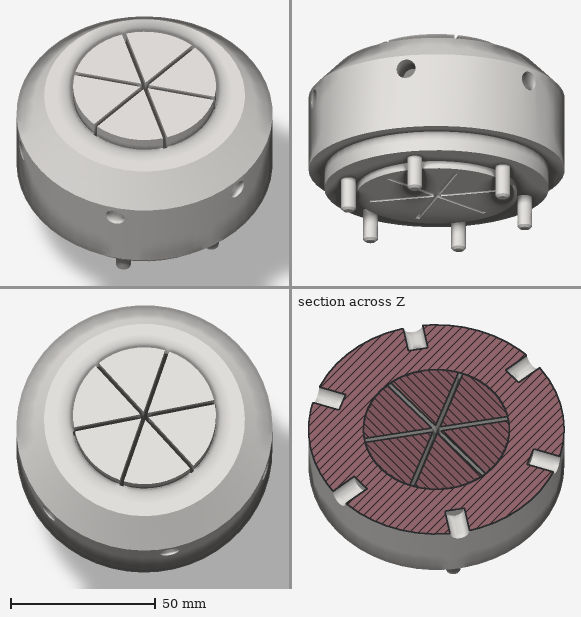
import cadquery as cq


housing_diameter = 88.9
housing_top = 54.5
housing_bottom = 18.4
rim_chamfer = 9.6
base_radius = 38.9
base_bottom = 11.5
bore_radius = 25.25

side_hole_count = 6
side_hole_radius = 3.4
side_hole_depth = 9.8
side_hole_height = 40.0
side_hole_first_angle = 30.0

pin_count = 6
pin_radius = 2.6
pin_circle_radius = 31.8
pin_chamfer = 0.8
pin_first_angle = 30.0

collet_top = 59.6
head_radius = 24.8
flange_radius = 28.0
flange_bottom = 8.8
slot_count = 3
slot_width = 1.5
slot_floor_reach = 24.0

housing_radius = housing_diameter / 2


def make_shell():
    """Chamfered cylinder on a smaller base, with a straight bore through both."""
    drum = (
        cq.Workplane("XY", origin=(0, 0, housing_bottom))
        .circle(housing_radius)
        .extrude(housing_top - housing_bottom)
        .faces(">Z")
        .chamfer(rim_chamfer)
    )
    base = (
        cq.Workplane("XY", origin=(0, 0, base_bottom))
        .circle(base_radius)
        .extrude(housing_bottom - base_bottom)
    )
    bore = (
        cq.Workplane("XY", origin=(0, 0, base_bottom))
        .circle(bore_radius)
        .extrude(housing_top - base_bottom)
    )
    return drum.union(base).cut(bore)


def make_side_hole(angle):
    """Flat-bottomed radial hole, drilled inward from the outer wall."""
    return (
        cq.Workplane("YZ", origin=(housing_radius - side_hole_depth, 0, side_hole_height))
        .circle(side_hole_radius)
        .extrude(side_hole_depth)
        .rotate((0, 0, 0), (0, 0, 1), angle)
    )


def make_pin(angle):
    """Pin with a chamfered tip, hanging from the underside of the base."""
    return (
        cq.Workplane("XY")
        .center(pin_circle_radius, 0)
        .circle(pin_radius)
        .extrude(base_bottom)
        .faces("<Z")
        .chamfer(pin_chamfer)
        .rotate((0, 0, 0), (0, 0, 1), angle)
    )


def make_housing():
    """One solid: shell, side holes and the pins that are part of its base."""
    body = make_shell()
    for i in range(side_hole_count):
        body = body.cut(make_side_hole(side_hole_first_angle + i * 360 / side_hole_count))
    for i in range(pin_count):
        body = body.union(make_pin(pin_first_angle + i * 360 / pin_count))
    return body


def make_slot(angle):
    """Cutter that splits head and plug completely but stops inside the flange rim."""
    above_flange = (
        cq.Workplane("XY", origin=(0, 0, base_bottom))
        .rect(2 * flange_radius, slot_width)
        .extrude(collet_top - base_bottom)
    )
    through_flange = (
        cq.Workplane("XY", origin=(0, 0, flange_bottom))
        .rect(2 * slot_floor_reach, slot_width)
        .extrude(base_bottom - flange_bottom)
    )
    return above_flange.union(through_flange).rotate((0, 0, 0), (0, 0, 1), angle)


def make_collet():
    """Slotted collet: a flange against the base, a plug filling the bore, and a narrower head.

    The shoulder between plug and head is flush with the top of the housing.
    """
    flange = (
        cq.Workplane("XY", origin=(0, 0, flange_bottom))
        .circle(flange_radius)
        .extrude(base_bottom - flange_bottom)
    )
    plug = (
        cq.Workplane("XY", origin=(0, 0, base_bottom))
        .circle(bore_radius)
        .extrude(housing_top - base_bottom)
    )
    head = (
        cq.Workplane("XY", origin=(0, 0, housing_top))
        .circle(head_radius)
        .extrude(collet_top - housing_top)
    )
    body = flange.union(plug).union(head)
    for i in range(slot_count):
        body = body.cut(make_slot(i * 180 / slot_count))
    return body


housing = make_housing()
collet = make_collet()

result = cq.Compound.makeCompound([housing.solids().val(), collet.solids().val()])